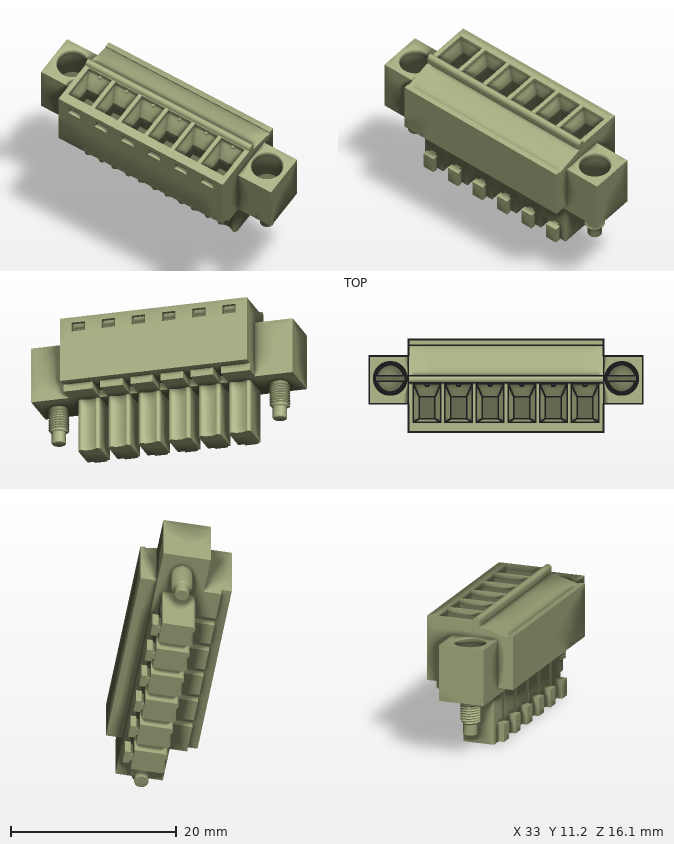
import cadquery as cq
import math

POLES = 6
PITCH = 3.81
POLE_XS = [(i - (POLES - 1) / 2) * PITCH for i in range(POLES)]
OVERALL_LENGTH = 33.05

END_WALL_EXTRA = 0.37
BODY_LENGTH = POLES * PITCH + 2 * END_WALL_EXTRA
BODY_DEPTH = 11.2
BODY_TOP = 9.0
STEP_HEIGHT = 0.9
STEP_FRONT = 1.28
STEP_BACK = 9.22
RIDGE_FRONT = 5.85
RIDGE_BACK = 6.85
RIDGE_TOP = 9.5
RIDGE_FOOT_RADIUS = 0.1
SLOPE_TOP = 8.37
SLOPE_BOTTOM = 7.42
BACK_LIP_TOP = 7.6
BACK_LIP_THICKNESS = 0.7

FUNNEL_FRONT = 1.19
FUNNEL_BACK = RIDGE_FRONT
FUNNEL_WIDTH = 3.32
FUNNEL_TAPER_TOP = 8.34
FUNNEL_TAPER_BOTTOM = 7.05
FUNNEL_FLOOR = 5.0
THROAT_WIDTH = 1.9
THROAT_FRONT = 1.65
THROAT_BACK = 4.28
DOT_RADIUS = 0.22
DOT_INSET = 0.1

WINDOW_WIDTH = 1.7
WINDOW_BOTTOM = 7.18
WINDOW_TOP = 8.3
WINDOW_DEPTH = 0.6
LATCH_WIDTH = 1.33
LATCH_RADIUS = 0.6
LATCH_TOP = 8.2

PIN_LENGTH = 6.6
PIN_WIDTH = 2.82
PIN_FRONT = 4.25
PIN_BACK = 8.37
PIN_CORNER_RADIUS = 0.45
PIN_GROOVE_DEPTH = 0.33
KEY_BOTTOM = -6.3
KEY_TOP = -4.1
KEY_WIDTH = 1.6
KEY_NECK_WIDTH = 0.8
KEY_NECK_LENGTH = 0.3
KEY_CHAMFER = 0.1
KEY_LENGTH = 1.08

FLANGE_TOP = 7.0
FLANGE_FRONT = 3.42
FLANGE_BACK = STEP_BACK
SCREW_Y = 6.5
SCREW_TO_POLE = 4.445
SCREW_X = POLE_XS[-1] + SCREW_TO_POLE
BORE_RADIUS = 2.0
BORE_FLOOR = 1.5
LIP_RADIUS = 1.9
LIP_CHAMFER_HEIGHT = 0.15
LIP_LAND_HEIGHT = 0.3
LIP_FLARE_HEIGHT = 0.4

HEAD_RADIUS = 1.83
HEAD_TOP = 3.0
HEAD_CHAMFER = 0.18
SLOT_WIDTH = 0.7
SLOT_DEPTH = 0.6
THREAD_RADIUS = 1.25
THREAD_ROOT_RADIUS = 1.06
THREAD_PITCH = 0.32
THREAD_BASE_WIDTH = 0.294
THREAD_END = -3.1
TIP_RADIUS = 0.87
TIP_END = -4.6
TIP_CHAMFER = 0.1

OVERLAP = 0.05


def box(x0, x1, y0, y1, z0, z1):
    """Axis-aligned box between two corners."""
    return cq.Workplane("XY").box(x1 - x0, y1 - y0, z1 - z0, centered=False).translate((x0, y0, z0))


def centred_box(x, width, y0, y1, z0, z1):
    """Box centred on x."""
    return box(x - width / 2, x + width / 2, y0, y1, z0, z1)


def make_housing():
    """Side profile of the housing, extruded along the pole row."""
    ridge_front_face = RIDGE_FRONT + RIDGE_FOOT_RADIUS
    ridge_radius = (RIDGE_BACK - ridge_front_face) / 2
    foot_bend = RIDGE_FOOT_RADIUS * (1 - math.sqrt(0.5))
    lip_front = BODY_DEPTH - BACK_LIP_THICKNESS
    profile = (
        cq.Workplane("YZ")
        .moveTo(0, STEP_HEIGHT)
        .lineTo(0, BODY_TOP)
        .lineTo(RIDGE_FRONT, BODY_TOP)
        .threePointArc(
            (ridge_front_face - foot_bend, BODY_TOP + foot_bend),
            (ridge_front_face, BODY_TOP + RIDGE_FOOT_RADIUS),
        )
        .lineTo(ridge_front_face, RIDGE_TOP - ridge_radius)
        .threePointArc((ridge_front_face + ridge_radius, RIDGE_TOP), (RIDGE_BACK, RIDGE_TOP - ridge_radius))
        .lineTo(RIDGE_BACK, SLOPE_TOP)
        .lineTo(lip_front, SLOPE_BOTTOM)
        .lineTo(lip_front, BACK_LIP_TOP)
        .lineTo(BODY_DEPTH, BACK_LIP_TOP)
        .lineTo(BODY_DEPTH, STEP_HEIGHT)
        .lineTo(STEP_BACK, STEP_HEIGHT)
        .lineTo(STEP_BACK, 0)
        .lineTo(STEP_FRONT, 0)
        .lineTo(STEP_FRONT, STEP_HEIGHT)
        .close()
    )
    return profile.extrude(BODY_LENGTH / 2, both=True)


def cut_step_gaps(housing):
    """Notch the front of the lower step between neighbouring pins, back to the pin fronts."""
    gap = PITCH - PIN_WIDTH
    for x in POLE_XS[:-1]:
        housing = housing.cut(centred_box(x + PITCH / 2, gap, STEP_FRONT, PIN_FRONT, 0, STEP_HEIGHT))
    return housing


def make_funnel(x):
    """Wire entry: straight mouth, tapered middle and straight throat."""
    mouth_depth = FUNNEL_BACK - FUNNEL_FRONT
    mouth_y = (FUNNEL_BACK + FUNNEL_FRONT) / 2
    throat_depth = THROAT_BACK - THROAT_FRONT
    throat_y = (THROAT_BACK + THROAT_FRONT) / 2
    taper = (
        cq.Workplane("XY", origin=(x, mouth_y, FUNNEL_TAPER_TOP))
        .rect(FUNNEL_WIDTH, mouth_depth)
        .workplane(offset=FUNNEL_TAPER_BOTTOM - FUNNEL_TAPER_TOP)
        .center(0, throat_y - mouth_y)
        .rect(THROAT_WIDTH, throat_depth)
        .loft(ruled=True)
    )
    mouth = centred_box(x, FUNNEL_WIDTH, FUNNEL_FRONT, FUNNEL_BACK, FUNNEL_TAPER_TOP, BODY_TOP)
    throat = centred_box(x, THROAT_WIDTH, THROAT_FRONT, THROAT_BACK, FUNNEL_FLOOR, FUNNEL_TAPER_BOTTOM)
    return mouth.union(taper).union(throat)


def make_dot(x):
    """Small round bump at the top of the funnel's back slope."""
    return cq.Workplane("XY").sphere(DOT_RADIUS).translate((x, FUNNEL_BACK - DOT_INSET, FUNNEL_TAPER_TOP))


def make_window(x):
    """Blind front window, less the quarter-round latch hanging in it."""
    recess = centred_box(x, WINDOW_WIDTH, 0, WINDOW_DEPTH, WINDOW_BOTTOM, WINDOW_TOP)
    bend = LATCH_RADIUS * math.sqrt(0.5)
    latch_front = WINDOW_DEPTH - LATCH_RADIUS / 2
    latch = (
        cq.Workplane("YZ", origin=(x - LATCH_WIDTH / 2, 0, 0))
        .moveTo(latch_front, LATCH_TOP)
        .threePointArc(
            (latch_front + LATCH_RADIUS - bend, LATCH_TOP - bend),
            (latch_front + LATCH_RADIUS, LATCH_TOP - LATCH_RADIUS),
        )
        .lineTo(latch_front + LATCH_RADIUS, LATCH_TOP)
        .close()
        .extrude(LATCH_WIDTH)
    )
    return recess.cut(latch)


def make_pin(x):
    """Plug pin with rounded front corners and a shallow front groove."""
    half = PIN_WIDTH / 2
    shoulder = half - PIN_CORNER_RADIUS
    bend = PIN_CORNER_RADIUS * math.sqrt(0.5)
    corner_y = PIN_FRONT + PIN_CORNER_RADIUS
    return (
        cq.Workplane("XY", origin=(x, 0, -PIN_LENGTH))
        .moveTo(-half, PIN_BACK)
        .lineTo(-half, corner_y)
        .threePointArc((-shoulder - bend, corner_y - bend), (-shoulder, PIN_FRONT))
        .threePointArc((0, PIN_FRONT + PIN_GROOVE_DEPTH), (shoulder, PIN_FRONT))
        .threePointArc((shoulder + bend, corner_y - bend), (half, corner_y))
        .lineTo(half, PIN_BACK)
        .close()
        .extrude(PIN_LENGTH + OVERLAP)
    )


def make_key(x):
    """T-shaped coding key on the back of a pin."""
    neck = KEY_NECK_WIDTH / 2
    head = KEY_WIDTH / 2
    neck_end = PIN_BACK + KEY_NECK_LENGTH
    key_end = PIN_BACK + KEY_LENGTH
    right_side = [
        (neck, PIN_BACK - OVERLAP),
        (neck, neck_end),
        (head - KEY_CHAMFER, neck_end),
        (head, neck_end + KEY_CHAMFER),
        (head, key_end),
    ]
    left_side = [(-px, py) for px, py in reversed(right_side)]
    return (
        cq.Workplane("XY", origin=(x, 0, KEY_BOTTOM))
        .polyline(right_side + left_side)
        .close()
        .extrude(KEY_TOP - KEY_BOTTOM)
    )


def make_flange(side):
    """Block at one end of the housing with a lipped bore for the screw head."""
    inner = BODY_LENGTH / 2 - OVERLAP
    outer = OVERALL_LENGTH / 2
    centre = side * (inner + outer) / 2
    block = centred_box(centre, outer - inner, FLANGE_FRONT, FLANGE_BACK, 0, FLANGE_TOP)
    lip_top = FLANGE_TOP - LIP_CHAMFER_HEIGHT
    lip_bottom = lip_top - LIP_LAND_HEIGHT
    bore = (
        cq.Workplane("XZ")
        .polyline([
            (0, BORE_FLOOR),
            (BORE_RADIUS, BORE_FLOOR),
            (BORE_RADIUS, lip_bottom - LIP_FLARE_HEIGHT),
            (LIP_RADIUS, lip_bottom),
            (LIP_RADIUS, lip_top),
            (BORE_RADIUS, FLANGE_TOP),
            (0, FLANGE_TOP),
        ])
        .close()
        .revolve(360, (0, 0, 0), (0, 1, 0))
        .translate((side * SCREW_X, SCREW_Y, 0))
    )
    return block, bore


def make_thread():
    """Helical V ridge wound on the screw shank."""
    length = -THREAD_END - THREAD_PITCH
    root = THREAD_ROOT_RADIUS - OVERLAP
    half_base = THREAD_BASE_WIDTH / 2
    start = THREAD_END + THREAD_PITCH / 2
    path = cq.Workplane("XY", obj=cq.Wire.makeHelix(THREAD_PITCH, length, root))
    ridge = (
        cq.Workplane("XZ")
        .polyline([(root, -half_base), (THREAD_RADIUS, 0), (root, half_base)])
        .close()
        .sweep(path, isFrenet=True)
    )
    return ridge.translate((0, 0, start))


def make_screw():
    """Slotted screw standing on the Z axis."""
    head_edge = HEAD_RADIUS - HEAD_CHAMFER
    neck_drop = THREAD_ROOT_RADIUS - TIP_RADIUS
    shank = (
        cq.Workplane("XZ")
        .polyline([
            (0, TIP_END),
            (TIP_RADIUS - TIP_CHAMFER, TIP_END),
            (TIP_RADIUS, TIP_END + TIP_CHAMFER),
            (TIP_RADIUS, THREAD_END - neck_drop / 2),
            (THREAD_ROOT_RADIUS, THREAD_END + neck_drop / 2),
            (THREAD_ROOT_RADIUS, BORE_FLOOR - OVERLAP),
            (HEAD_RADIUS, BORE_FLOOR - OVERLAP),
            (HEAD_RADIUS, HEAD_TOP - HEAD_CHAMFER),
            (head_edge, HEAD_TOP),
            (0, HEAD_TOP),
        ])
        .close()
        .revolve(360, (0, 0, 0), (0, 1, 0))
    )
    slot = centred_box(0, 2 * HEAD_RADIUS, -SLOT_WIDTH / 2, SLOT_WIDTH / 2, HEAD_TOP - SLOT_DEPTH, HEAD_TOP)
    return shank.cut(slot).union(make_thread())


def make_part():
    """Join the housing, pins, flanges and screws."""
    part = cut_step_gaps(make_housing())
    for x in POLE_XS:
        part = part.cut(make_funnel(x)).cut(make_window(x))
        part = part.union(make_dot(x)).union(make_pin(x)).union(make_key(x))
    screw = make_screw()
    for side in (-1, 1):
        block, bore = make_flange(side)
        part = part.union(block).cut(bore)
        part = part.union(screw.translate((side * SCREW_X, SCREW_Y, 0)))
    return part


result = make_part()